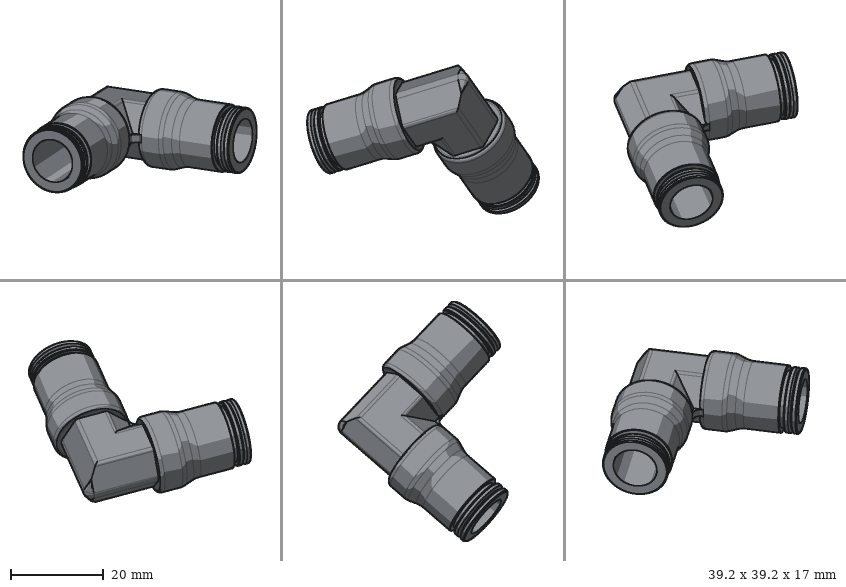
import math

import cadquery as cq


collar_radius = 8.5
collar_start = 9.5
collar_edge_end = 10.43
collar_edge_round = 1.0
collar_edge_sweep = math.radians(60)
collar_face_radius = 7.55
collar_straight_end = 14.5
barrel_radius = 7.38
barrel_end = 26.8
barrel_edge_chamfer = 0.12
taper_angle = math.radians(20)
taper_outer_round = 3.0
taper_inner_round = 5.0

neck_radius = 6.25
sleeve_radius = 7.17
sleeve_start = 27.78
sleeve_end = 30.66
sleeve_edge_chamfer = 0.25
sleeve_edge_drop = 0.12
groove_start = 28.8
groove_bottom = 29.22
groove_end = 29.65
groove_radius = 6.5

tube_radius = 4.78
tube_stop = 11.0
flow_radius = 3.84
drill_tip_angle = math.radians(118)

arm_half_height = 6.55
outer_flat_half_width = 3.6
outer_ridge = 7.27
outer_ridge_round = 1.82
inner_flat_half_width = 3.49
inner_edge = 8.3
arm_edge_round = 1.0
arm_length = collar_edge_end

web_half_thickness = 0.9
web_edge_round = 1.5


def mirrored_to_y(shape):
    """Mirror an X-axis shape across the elbow's diagonal plane y = -x."""
    return shape.mirror("XY").rotate((0, 0, 0), (1, -1, 0), 180)


def both_sockets(shape):
    return shape.union(mirrored_to_y(shape))


def socket_body():
    """Collar, taper, barrel and sleeve turned about the X axis."""
    sin_taper = math.sin(taper_angle)
    cos_taper = math.cos(taper_angle)
    outer_drop = taper_outer_round * (1 - cos_taper)
    inner_drop = taper_inner_round * (1 - cos_taper)
    cone_drop = collar_radius - barrel_radius - outer_drop - inner_drop
    cone_start = collar_straight_end + taper_outer_round * sin_taper
    cone_end = cone_start + cone_drop / math.tan(taper_angle)
    barrel_start = cone_end + taper_inner_round * sin_taper

    half_sin = math.sin(taper_angle / 2)
    half_drop = 1 - math.cos(taper_angle / 2)
    outer_round_middle = (
        collar_straight_end + taper_outer_round * half_sin,
        collar_radius - taper_outer_round * half_drop,
    )
    inner_round_middle = (
        barrel_start - taper_inner_round * half_sin,
        barrel_radius + taper_inner_round * half_drop,
    )

    def collar_edge_point(angle):
        return (
            collar_edge_end - collar_edge_round * math.sin(angle),
            collar_radius - collar_edge_round * (1 - math.cos(angle)),
        )

    profile = (
        cq.Workplane("XY")
        .moveTo(collar_start, 0)
        .lineTo(collar_start, collar_face_radius)
        .lineTo(*collar_edge_point(collar_edge_sweep))
        .threePointArc(collar_edge_point(collar_edge_sweep / 2), collar_edge_point(0))
        .lineTo(collar_straight_end, collar_radius)
        .threePointArc(outer_round_middle, (cone_start, collar_radius - outer_drop))
        .lineTo(cone_end, barrel_radius + inner_drop)
        .threePointArc(inner_round_middle, (barrel_start, barrel_radius))
        .lineTo(barrel_end - barrel_edge_chamfer, barrel_radius)
        .lineTo(barrel_end, barrel_radius - barrel_edge_chamfer)
        .lineTo(barrel_end, neck_radius)
        .lineTo(sleeve_start, neck_radius)
        .lineTo(sleeve_start, sleeve_radius - sleeve_edge_drop)
        .lineTo(sleeve_start + sleeve_edge_chamfer, sleeve_radius)
        .lineTo(groove_start, sleeve_radius)
        .lineTo(groove_bottom, groove_radius)
        .lineTo(groove_end, sleeve_radius)
        .lineTo(sleeve_end - sleeve_edge_chamfer, sleeve_radius)
        .lineTo(sleeve_end, sleeve_radius - sleeve_edge_chamfer)
        .lineTo(sleeve_end, 0)
        .close()
    )
    return profile.revolve(360, (0, 0, 0), (1, 0, 0))


def arm():
    """Arm along +X, mitred on the diagonal plane, long edges rounded."""
    section = [
        (outer_ridge, 0),
        (outer_flat_half_width, arm_half_height),
        (-inner_flat_half_width, arm_half_height),
        (-inner_edge, web_half_thickness),
        (-inner_edge, -web_half_thickness),
        (-inner_flat_half_width, -arm_half_height),
        (outer_flat_half_width, -arm_half_height),
    ]
    prism = (
        cq.Workplane("YZ")
        .workplane(offset=-outer_ridge)
        .polyline(section)
        .close()
        .extrude(outer_ridge + arm_length)
    )
    prism = prism.edges("|X and >Y").fillet(outer_ridge_round)
    prism = prism.edges("|X and (>Z or <Z)").fillet(arm_edge_round)
    mitre = (
        cq.Workplane("XY")
        .polyline([(-arm_length, arm_length), (arm_length, arm_length), (arm_length, -arm_length)])
        .close()
        .extrude(arm_half_height, both=True)
    )
    return prism.intersect(mitre)


def elbow():
    """Both mitred arms with the outside corner turned about a vertical axis."""
    face_angle = math.atan2(outer_ridge - outer_flat_half_width, arm_half_height)
    corner = outer_ridge - outer_ridge_round / math.cos(face_angle)
    ridge_radius = outer_ridge_round
    tangent_radius = outer_ridge_round * math.cos(face_angle)
    tangent_height = outer_ridge_round * math.sin(face_angle)
    cone_height = (outer_ridge - corner) / math.tan(face_angle)

    sharp_corner = cq.Workplane("XY").box(
        outer_ridge, outer_ridge, 2 * arm_half_height, centered=(False, False, True)
    ).translate((-corner - outer_ridge, corner, 0))
    rounded_corner = (
        cq.Workplane("XZ")
        .moveTo(0, -cone_height)
        .lineTo(tangent_radius, -tangent_height)
        .threePointArc((ridge_radius, 0), (tangent_radius, tangent_height))
        .lineTo(0, cone_height)
        .close()
        .revolve(360, (0, 0, 0), (0, 1, 0))
        .translate((-corner, corner, 0))
    )
    return both_sockets(arm()).cut(sharp_corner).union(rounded_corner)


def web():
    """Thin plate filling the inside corner, with a concave edge."""
    arc_end = collar_radius + web_edge_round
    arc_middle = arc_end - web_edge_round * math.sqrt(0.5)
    return (
        cq.Workplane("XY")
        .moveTo(0, 0)
        .lineTo(0, -collar_edge_end)
        .lineTo(collar_radius, -collar_edge_end)
        .lineTo(collar_radius, -arc_end)
        .threePointArc((arc_middle, -arc_middle), (arc_end, -collar_radius))
        .lineTo(collar_edge_end, -collar_radius)
        .lineTo(collar_edge_end, 0)
        .close()
        .extrude(web_half_thickness, both=True)
    )


def bore():
    """Tube socket and drilled flow passage with a conical drill tip."""
    tip_length = flow_radius / math.tan(drill_tip_angle / 2)
    return (
        cq.Workplane("XY")
        .moveTo(-tip_length, 0)
        .lineTo(0, flow_radius)
        .lineTo(tube_stop, flow_radius)
        .lineTo(tube_stop, tube_radius)
        .lineTo(sleeve_end, tube_radius)
        .lineTo(sleeve_end, 0)
        .close()
        .revolve(360, (0, 0, 0), (1, 0, 0))
    )


result = elbow().union(web()).union(both_sockets(socket_body())).cut(both_sockets(bore()))